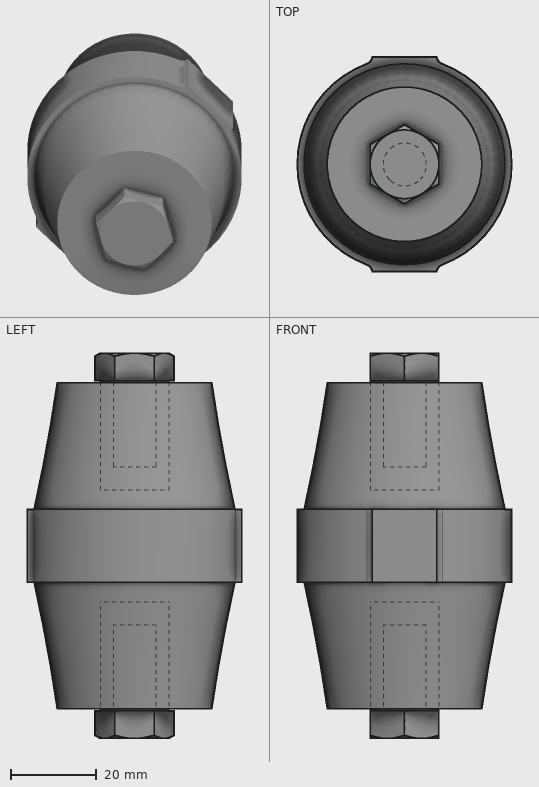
import cadquery as cq
import math

insulator_height = 76.0
end_radius = 18.0
root_radius = 23.4
flank_arc_radius = 400.0
band_radius = 25.0
band_height = 17.0
pad_width = 15.0
pad_fillet_radius = 2.0

insert_diameter = 16.0
insert_proud = 0.45
insert_depth = 25.0

bolt_diameter = 10.0
shank_length = 20.0
head_height = 6.4
head_across_flats = 16.0
head_chamfer_angle = 30.0

half_height = insulator_height / 2
half_band = band_height / 2
insert_face_z = half_height + insert_proud
insert_floor_z = half_height - insert_depth
bolt_tip_z = insert_face_z - shank_length
END_DIRECTIONS = (1, -1)


def flank_midpoint():
    """Middle of the slightly hollow arc running from the band to the end face."""
    run = half_height - half_band
    rise = root_radius - end_radius
    chord = math.hypot(run, rise)
    sagitta = flank_arc_radius - math.sqrt(flank_arc_radius**2 - (chord / 2) ** 2)
    radius = (root_radius + end_radius) / 2 - sagitta * run / chord
    z = (half_height + half_band) / 2 - sagitta * rise / chord
    return radius, z


def make_core():
    """Insulator without its band, revolved about Z."""
    mid_radius, mid_z = flank_midpoint()
    return (
        cq.Workplane("XZ")
        .moveTo(0, -half_height)
        .lineTo(end_radius, -half_height)
        .threePointArc((mid_radius, -mid_z), (root_radius, -half_band))
        .lineTo(root_radius, half_band)
        .threePointArc((mid_radius, mid_z), (end_radius, half_height))
        .lineTo(0, half_height)
        .close()
        .revolve(360, (0, 0, 0), (0, 1, 0))
    )


def make_band():
    """Round band with a flat pad on the +Y and -Y sides, blended by fillet arcs."""
    half_pad = pad_width / 2
    pad_corner_distance = math.hypot(half_pad, band_radius)
    fillet_center_distance = band_radius + pad_fillet_radius

    corner_to_center_angle = math.acos(
        (pad_corner_distance**2 + fillet_center_distance**2 - pad_fillet_radius**2)
        / (2 * pad_corner_distance * fillet_center_distance)
    )
    center_angle = math.atan2(band_radius, half_pad) - corner_to_center_angle
    center_x = fillet_center_distance * math.cos(center_angle)
    center_y = fillet_center_distance * math.sin(center_angle)
    tangent_x = band_radius * math.cos(center_angle)
    tangent_y = band_radius * math.sin(center_angle)

    chord_x = (half_pad + tangent_x) / 2 - center_x
    chord_y = (band_radius + tangent_y) / 2 - center_y
    reach = pad_fillet_radius / math.hypot(chord_x, chord_y)
    fillet_x = center_x + reach * chord_x
    fillet_y = center_y + reach * chord_y

    return (
        cq.Workplane("XY")
        .workplane(offset=-half_band)
        .moveTo(-half_pad, band_radius)
        .lineTo(half_pad, band_radius)
        .threePointArc((fillet_x, fillet_y), (tangent_x, tangent_y))
        .threePointArc((band_radius, 0), (tangent_x, -tangent_y))
        .threePointArc((fillet_x, -fillet_y), (half_pad, -band_radius))
        .lineTo(-half_pad, -band_radius)
        .threePointArc((-fillet_x, -fillet_y), (-tangent_x, -tangent_y))
        .threePointArc((-band_radius, 0), (-tangent_x, tangent_y))
        .threePointArc((-fillet_x, fillet_y), (-half_pad, band_radius))
        .close()
        .extrude(band_height)
    )


def axial_cylinder(diameter, start_z, end_z):
    return (
        cq.Workplane("XY")
        .workplane(offset=start_z)
        .circle(diameter / 2)
        .extrude(end_z - start_z)
    )


def place_at_end(upper_body, direction):
    """Keep the upper body where it is, or mirror it to the lower end."""
    if direction > 0:
        return upper_body
    return upper_body.mirror("XY")


def make_insulator():
    body = make_core().union(make_band())
    pocket = axial_cylinder(insert_diameter, insert_floor_z, half_height)
    for direction in END_DIRECTIONS:
        body = body.cut(place_at_end(pocket, direction))
    return body


def make_insert(direction):
    blank = axial_cylinder(insert_diameter, insert_floor_z, insert_face_z)
    bore = axial_cylinder(bolt_diameter, bolt_tip_z, insert_face_z)
    return place_at_end(blank.cut(bore), direction)


def make_head():
    """Hex head with two flats facing +X and -X and its outer corners chamfered."""
    across_corners = head_across_flats / math.cos(math.pi / 6)
    hexagon = (
        cq.Workplane("XY")
        .workplane(offset=insert_face_z)
        .transformed(rotate=(0, 0, 90))
        .polygon(6, across_corners)
        .extrude(head_height)
    )
    flat_radius = head_across_flats / 2
    corner_radius = across_corners / 2
    chamfer_drop = (corner_radius - flat_radius) * math.tan(math.radians(head_chamfer_angle))
    head_top_z = insert_face_z + head_height
    envelope = (
        cq.Workplane("XZ")
        .moveTo(0, insert_face_z)
        .lineTo(corner_radius, insert_face_z)
        .lineTo(corner_radius, head_top_z - chamfer_drop)
        .lineTo(flat_radius, head_top_z)
        .lineTo(0, head_top_z)
        .close()
        .revolve(360, (0, 0, 0), (0, 1, 0))
    )
    return hexagon.intersect(envelope)


def make_bolt(direction):
    shank = axial_cylinder(bolt_diameter, bolt_tip_z, insert_face_z)
    return place_at_end(make_head().union(shank), direction)


insulator = make_insulator()
inserts = [make_insert(direction) for direction in END_DIRECTIONS]
bolts = [make_bolt(direction) for direction in END_DIRECTIONS]

result = cq.Compound.makeCompound(
    [
        insulator.solids().val(),
        *[insert.solids().val() for insert in inserts],
        *[bolt.solids().val() for bolt in bolts],
    ]
)